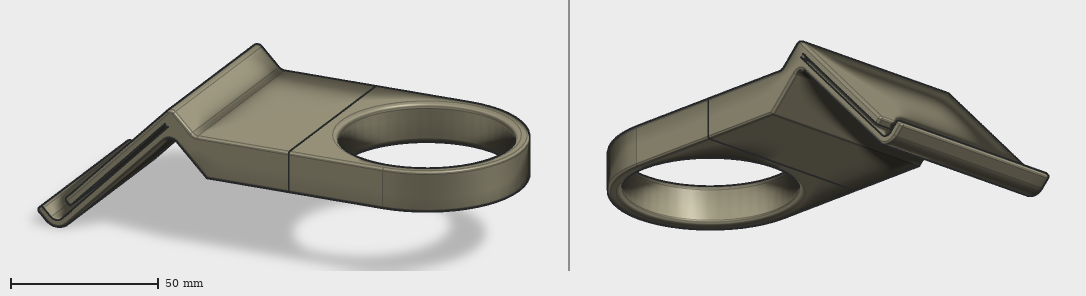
import cadquery as cq
import math

width = 70.0
ring_radius = width / 2
hole_diameter = 60.0
arm_thickness = 15.0
joint_x = -35.2
edge_radius = 1.0
rim_radius = 2.0
inside_corner_radius = 3.0

ridge_x = -79.6
ridge_z = 23.7
valley_z = 13.5
plate_length = 56.6
upper_plate = 3.0
lower_plate = 2.8
slot_start = 6.5
hook_inner_radius = 3.0
hook_center_x = -122.5
hook_tip_length = 5.0

diagonal = math.sqrt(0.5)
stand_thickness = (ridge_z - valley_z) * diagonal
slot_bottom = stand_thickness - lower_plate
hook_outer_radius = hook_inner_radius + lower_plate
hook_center_z = valley_z + (hook_center_x - ridge_x) + hook_outer_radius / diagonal


def on_plate(along, depth):
    """Point at a distance down the plate from the ridge and a depth below its upper face."""
    return (ridge_x + (depth - along) * diagonal, ridge_z - (depth + along) * diagonal)


def on_hook(radius, angle, run=0):
    """Point on a hook arc, moved by a run up the hook's free leg."""
    turn = math.radians(angle)
    return (
        hook_center_x + radius * math.cos(turn) - run * diagonal,
        hook_center_z + radius * math.sin(turn) + run * diagonal,
    )


def stand_outline():
    """Closed side outline of the stand, in the XZ plane."""
    return (
        cq.Workplane("XZ")
        .moveTo(joint_x, arm_thickness)
        .lineTo(ridge_x + ridge_z - arm_thickness, arm_thickness)
        .lineTo(ridge_x, ridge_z)
        .lineTo(*on_plate(plate_length, 0))
        .lineTo(*on_plate(plate_length, upper_plate))
        .lineTo(*on_plate(slot_start, upper_plate))
        .lineTo(*on_plate(slot_start, slot_bottom))
        .lineTo(*on_hook(hook_inner_radius, -45))
        .threePointArc(on_hook(hook_inner_radius, -90), on_hook(hook_inner_radius, -135))
        .lineTo(*on_hook(hook_inner_radius, -135, hook_tip_length))
        .lineTo(*on_hook(hook_outer_radius, -135, hook_tip_length))
        .lineTo(*on_hook(hook_outer_radius, -135))
        .threePointArc(on_hook(hook_outer_radius, -90), on_hook(hook_outer_radius, -45))
        .lineTo(ridge_x, valley_z)
        .lineTo(ridge_x + valley_z, 0)
        .lineTo(joint_x, 0)
        .close()
    )


def edges_along_y(body, x, z):
    """The edge of the body that runs along Y through the given X and Z."""
    reach = 0.08
    box = cq.selectors.BoxSelector((x - reach, -width, z - reach), (x + reach, width, z + reach))
    return body.edges("|Y").edges(box)


def outer_side_edges(body):
    """Side edges of the smooth chains over the top and the underside of the stand."""
    clearance = 0.2
    chosen = []
    for edge in body.faces("<Y or >Y").edges().vals():
        middle = edge.positionAt(0.5)
        depth = (middle.x - ridge_x + ridge_z - middle.z) * diagonal
        distance_down = (ridge_x - middle.x + ridge_z - middle.z) * diagonal
        on_plate_top = depth < clearance and distance_down < plate_length
        on_top = on_plate_top or middle.z > arm_thickness - clearance
        on_underside = depth > stand_thickness - clearance and middle.z < valley_z
        if (on_top or on_underside) and middle.x < joint_x - clearance:
            chosen.append(edge)
    return body.newObject(chosen)


def inner_tip_waste():
    """Corner left outside the rounding of the hook tip's inner edge."""
    arc_center_radius = hook_inner_radius + edge_radius
    arc_center_run = hook_tip_length - edge_radius
    arc_reach = edge_radius * diagonal
    return (
        cq.Workplane("XZ")
        .moveTo(*on_hook(hook_inner_radius, -135, hook_tip_length))
        .lineTo(*on_hook(hook_inner_radius, -135, arc_center_run))
        .threePointArc(
            on_hook(arc_center_radius - arc_reach, -135, arc_center_run + arc_reach),
            on_hook(arc_center_radius, -135, hook_tip_length),
        )
        .close()
        .extrude(width / 2, both=True)
    )


def make_stand():
    step_x = ridge_x + ridge_z - arm_thickness
    body = stand_outline().extrude(width / 2, both=True)
    body = edges_along_y(body, ridge_x, ridge_z).fillet(rim_radius)
    body = edges_along_y(body, ridge_x, valley_z).fillet(inside_corner_radius)
    body = edges_along_y(body, ridge_x + valley_z, 0).fillet(edge_radius)
    body = edges_along_y(body, step_x, arm_thickness).fillet(inside_corner_radius)
    body = edges_along_y(body, *on_plate(plate_length, 0)).fillet(edge_radius)
    body = edges_along_y(body, *on_hook(hook_outer_radius, -135, hook_tip_length)).fillet(edge_radius)
    body = outer_side_edges(body).fillet(edge_radius)
    return body.cut(inner_tip_waste())


def make_ring():
    body = (
        cq.Workplane("XY")
        .moveTo(joint_x, -ring_radius)
        .lineTo(0, -ring_radius)
        .threePointArc((ring_radius, 0), (0, ring_radius))
        .lineTo(joint_x, ring_radius)
        .close()
        .extrude(arm_thickness)
    )
    body = body.faces("<Z or >Z").edges("not <X").fillet(edge_radius)
    hole = cq.Workplane("XY").circle(hole_diameter / 2).extrude(arm_thickness)
    body = body.cut(hole)
    rim_reach = hole_diameter / 2 + 0.2
    rim_box = cq.selectors.BoxSelector(
        (-rim_reach, -rim_reach, -1.6), (rim_reach, rim_reach, arm_thickness + 1.6), boundingbox=True
    )
    return body.edges("%CIRCLE").edges(rim_box).edges("<Z or >Z").fillet(rim_radius)


stand = make_stand()
ring = make_ring()
result = cq.Compound.makeCompound([stand.val(), ring.val()])